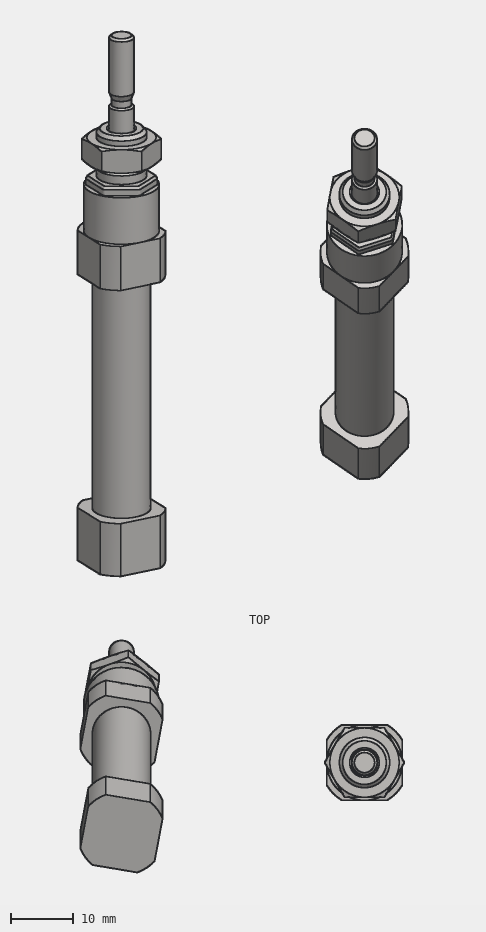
import cadquery as cq
import math

CAP_TOP = 9.0
HEAD_BOTTOM = 48.7
HEAD_SQUARE_TOP = 56.2
HEAD_TOP = 64.1
COLLAR_TOP = 65.6
NUT_BOTTOM = 68.1
NUT_HEIGHT = 4.0
NUT_TOP = NUT_BOTTOM + NUT_HEIGHT
NECK_TOP = 73.65
GROOVE_BOTTOM = 77.65
ROD_BOTTOM = HEAD_BOTTOM
ROD_TOP = 89.5

SQUARE_WIDTH = 12.0
SQUARE_CORNER_DIAMETER = 14.0
TUBE_DIAMETER = 9.3
HEAD_DIAMETER = SQUARE_WIDTH
COLLAR_ACROSS_FLATS = 10.0
COLLAR_EDGE_RADIUS = 0.5
COLLAR_CHAMFER_HEIGHT = 0.5
COLLAR_CHAMFER_ANGLE = 30.0
COLLAR_CHAMFER_INSET = COLLAR_CHAMFER_HEIGHT * math.tan(math.radians(COLLAR_CHAMFER_ANGLE))
NECK_DIAMETER = 8.0
THREAD_ROOT_DIAMETER = 6.92
NECK_CHAMFER_HEIGHT = 0.65
NECK_CHAMFER_GAP = 0.4

HEXAGON_SIDES = 6

NUT_ACROSS_FLATS = 11.0
NUT_CHAMFER_FACE_DIAMETER = NUT_ACROSS_FLATS
NUT_CHAMFER_ANGLE = 20.0

ROD_DIAMETER = 4.0
ROD_GROOVE_DIAMETER = 3.2
ROD_TIP_CHAMFER = 0.4
GROOVE_LOWER_CHAMFER_HEIGHT = 0.25
GROOVE_HEIGHT = 1.15
GROOVE_UPPER_CONE_HEIGHT = 1.0
BORE_DIAMETER = 4.13
BORE_MOUTH_DIAMETER = 4.7
BORE_MOUTH_DEPTH = (BORE_MOUTH_DIAMETER - BORE_DIAMETER) / 2


def disc(diameter, bottom, top):
    """Cylinder about the Z axis between two levels."""
    return cq.Workplane("XY").workplane(offset=bottom).circle(diameter / 2).extrude(top - bottom)


def frustum(bottom_diameter, top_diameter, bottom, top):
    """Cone stretch about the Z axis between two levels."""
    profile = [
        (0, bottom),
        (bottom_diameter / 2, bottom),
        (top_diameter / 2, top),
        (0, top),
    ]
    return cq.Workplane("XZ").polyline(profile).close().revolve(360, (0, 0), (0, 1))


def hexagon_across_corners(across_flats):
    """Corner-to-corner width of a hexagon of a given width across flats."""
    return across_flats / math.cos(math.pi / HEXAGON_SIDES)


def hexagon(across_flats, bottom, top):
    """Hexagonal prism with two of its corners on the X axis."""
    across_corners = hexagon_across_corners(across_flats)
    base = cq.Workplane("XY").workplane(offset=bottom)
    return base.polygon(HEXAGON_SIDES, across_corners).extrude(top - bottom)


def rounded_square(bottom, top):
    """Square block with its corners turned down to a larger circle."""
    block = (
        cq.Workplane("XY")
        .workplane(offset=bottom)
        .rect(SQUARE_WIDTH, SQUARE_WIDTH)
        .extrude(top - bottom)
    )
    return block.intersect(disc(SQUARE_CORNER_DIAMETER, bottom, top))


def make_collar():
    """Hexagonal collar with rounded upright edges and a chamfered top."""
    collar = hexagon(COLLAR_ACROSS_FLATS, HEAD_TOP, COLLAR_TOP)
    collar = collar.edges("|Z").fillet(COLLAR_EDGE_RADIUS)
    return collar.faces(">Z").chamfer(COLLAR_CHAMFER_HEIGHT, COLLAR_CHAMFER_INSET)


def make_neck():
    """Threaded neck, relieved to the thread root under the nut."""
    lower_chamfer_top = NUT_BOTTOM - NECK_CHAMFER_GAP
    lower_chamfer_bottom = lower_chamfer_top - NECK_CHAMFER_HEIGHT
    upper_chamfer_bottom = NECK_TOP - NECK_CHAMFER_HEIGHT
    return (
        disc(NECK_DIAMETER, COLLAR_TOP, lower_chamfer_bottom)
        .union(frustum(NECK_DIAMETER, THREAD_ROOT_DIAMETER, lower_chamfer_bottom, lower_chamfer_top))
        .union(disc(THREAD_ROOT_DIAMETER, lower_chamfer_top, NUT_TOP))
        .union(disc(NECK_DIAMETER, NUT_TOP, upper_chamfer_bottom))
        .union(frustum(NECK_DIAMETER, THREAD_ROOT_DIAMETER, upper_chamfer_bottom, NECK_TOP))
    )


def make_housing():
    """End cap, tube, head, collar and neck, bored from the top for the rod."""
    body = (
        rounded_square(0, CAP_TOP)
        .union(disc(TUBE_DIAMETER, CAP_TOP, HEAD_BOTTOM))
        .union(rounded_square(HEAD_BOTTOM, HEAD_SQUARE_TOP))
        .union(disc(HEAD_DIAMETER, HEAD_SQUARE_TOP, HEAD_TOP))
        .union(make_collar())
        .union(make_neck())
    )
    bore = disc(BORE_DIAMETER, ROD_BOTTOM, NECK_TOP)
    bore_mouth = frustum(BORE_DIAMETER, BORE_MOUTH_DIAMETER, NECK_TOP - BORE_MOUTH_DEPTH, NECK_TOP)
    return body.cut(bore).cut(bore_mouth)


def make_nut():
    """Hexagonal nut with conical chamfers on both faces."""
    across_corners = hexagon_across_corners(NUT_ACROSS_FLATS)
    overhang = (across_corners - NUT_CHAMFER_FACE_DIAMETER) / 2
    chamfer_height = overhang * math.tan(math.radians(NUT_CHAMFER_ANGLE))
    envelope = (
        frustum(NUT_CHAMFER_FACE_DIAMETER, across_corners, NUT_BOTTOM, NUT_BOTTOM + chamfer_height)
        .union(disc(across_corners, NUT_BOTTOM + chamfer_height, NUT_TOP - chamfer_height))
        .union(frustum(across_corners, NUT_CHAMFER_FACE_DIAMETER, NUT_TOP - chamfer_height, NUT_TOP))
    )
    thread = disc(THREAD_ROOT_DIAMETER, NUT_BOTTOM, NUT_TOP)
    return hexagon(NUT_ACROSS_FLATS, NUT_BOTTOM, NUT_TOP).intersect(envelope).cut(thread)


def make_rod():
    """Piston rod with a chamfered tip and a necked groove below it."""
    groove_top = GROOVE_BOTTOM + GROOVE_HEIGHT
    cone_top = groove_top + GROOVE_UPPER_CONE_HEIGHT
    shoulder_bottom = GROOVE_BOTTOM - GROOVE_LOWER_CHAMFER_HEIGHT
    return (
        disc(ROD_DIAMETER, ROD_BOTTOM, shoulder_bottom)
        .union(frustum(ROD_DIAMETER, ROD_GROOVE_DIAMETER, shoulder_bottom, GROOVE_BOTTOM))
        .union(disc(ROD_GROOVE_DIAMETER, GROOVE_BOTTOM, groove_top))
        .union(frustum(ROD_GROOVE_DIAMETER, ROD_DIAMETER, groove_top, cone_top))
        .union(disc(ROD_DIAMETER, cone_top, ROD_TOP).faces(">Z").chamfer(ROD_TIP_CHAMFER))
    )


housing = make_housing().solids()
nut = make_nut().solids()
rod = make_rod().solids()

result = cq.Compound.makeCompound([housing.val(), nut.val(), rod.val()])